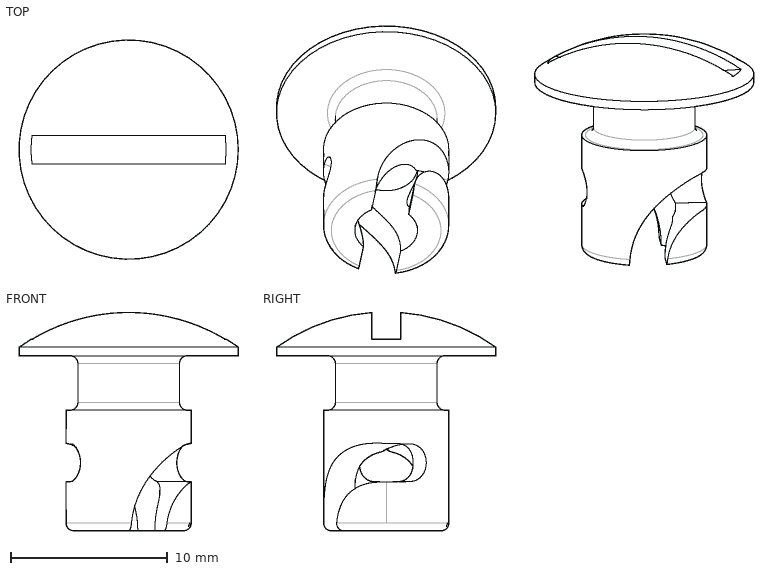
import cadquery as cq
import math

HEAD_RADIUS = 7.0
DOME_RADIUS = 12.0
RIM_HEIGHT = 0.55
DOME_HEIGHT = DOME_RADIUS - math.sqrt(DOME_RADIUS**2 - HEAD_RADIUS**2)
HEAD_HEIGHT = RIM_HEIGHT + DOME_HEIGHT

NECK_RADIUS = 3.25
NECK_LENGTH = 3.47
NECK_FILLET = 0.5
BODY_RADIUS = 4.0
BODY_LENGTH = 7.7
BODY_EDGE_RADIUS = 0.5
BODY_BOTTOM = -(NECK_LENGTH + BODY_LENGTH)

DRIVER_SLOT_WIDTH = 1.83
DRIVER_SLOT_HALF_LENGTH = 6.22
DRIVER_SLOT_SAG = 0.5

BORE_RADIUS = 2.0
BORE_DEPTH = 6.0

GROOVE_WIDTH = 2.4
GROOVE_DEPTH = 2.8
GROOVE_MAX_TILT = 18.0
GROOVE_END_ARC = 1.55
GROOVE_TURN_START_ARC = 0.6
GROOVE_TURN_RADIUS = 4.3
GROOVE_TURN_CENTRE_Z = BODY_BOTTOM + 0.05
GROOVE_LEVEL_Z = GROOVE_TURN_CENTRE_Z + GROOVE_TURN_RADIUS
GROOVE_EXIT_ARC = GROOVE_TURN_START_ARC + GROOVE_TURN_RADIUS
GROOVE_LEVEL_SECTIONS = 4
GROOVE_TURN_SECTIONS = 10
CUT_CLEARANCE = 1.0


def make_stud():
    """Revolve the dome, rim, neck and body about Z."""
    dome_mid_radius = HEAD_RADIUS / 2
    dome_mid_z = HEAD_HEIGHT - DOME_RADIUS + math.sqrt(DOME_RADIUS**2 - dome_mid_radius**2)
    neck_fillet_edge = NECK_RADIUS + NECK_FILLET
    profile = (
        cq.Workplane("XZ")
        .moveTo(0, BODY_BOTTOM)
        .lineTo(BODY_RADIUS - BODY_EDGE_RADIUS, BODY_BOTTOM)
        .radiusArc((BODY_RADIUS, BODY_BOTTOM + BODY_EDGE_RADIUS), -BODY_EDGE_RADIUS)
        .lineTo(BODY_RADIUS, -NECK_LENGTH)
        .lineTo(neck_fillet_edge, -NECK_LENGTH)
        .radiusArc((NECK_RADIUS, -NECK_LENGTH + NECK_FILLET), NECK_FILLET)
        .lineTo(NECK_RADIUS, -NECK_FILLET)
        .radiusArc((neck_fillet_edge, 0), NECK_FILLET)
        .lineTo(HEAD_RADIUS, 0)
        .lineTo(HEAD_RADIUS, RIM_HEIGHT)
        .threePointArc((dome_mid_radius, dome_mid_z), (0, HEAD_HEIGHT))
        .close()
    )
    return profile.revolve(360, (0, 0, 0), (0, 1, 0))


def make_driver_slot():
    """Slot along X whose floor is a shallow arc, lowest at the middle."""
    end_z = HEAD_HEIGHT - DOME_RADIUS + math.sqrt(DOME_RADIUS**2 - DRIVER_SLOT_HALF_LENGTH**2)
    top_z = HEAD_HEIGHT + CUT_CLEARANCE
    return (
        cq.Workplane("XZ")
        .moveTo(-DRIVER_SLOT_HALF_LENGTH, top_z)
        .lineTo(-DRIVER_SLOT_HALF_LENGTH, end_z)
        .threePointArc((0, end_z - DRIVER_SLOT_SAG), (DRIVER_SLOT_HALF_LENGTH, end_z))
        .lineTo(DRIVER_SLOT_HALF_LENGTH, top_z)
        .close()
        .extrude(DRIVER_SLOT_WIDTH / 2, both=True)
    )


def make_bore():
    """Flat-bottomed axial bore, opening on the bottom face."""
    return cq.Workplane("XY", origin=(0, 0, BODY_BOTTOM)).circle(BORE_RADIUS).extrude(BORE_DEPTH)


def groove_section(arc, z, descent):
    """Rectangular cross section of the groove at one place on its path."""
    angle = math.pi - arc / BODY_RADIUS
    outward = cq.Vector(math.cos(angle), math.sin(angle), 0)
    level_tangent = cq.Vector(math.sin(angle), -math.cos(angle), 0)
    along = level_tangent * math.cos(descent) - cq.Vector(0, 0, math.sin(descent))
    path_fraction = (arc + GROOVE_END_ARC) / (GROOVE_EXIT_ARC + GROOVE_END_ARC)
    tilt = GROOVE_MAX_TILT * math.sin(math.pi * path_fraction)
    plane = cq.Plane(origin=outward * BODY_RADIUS + cq.Vector(0, 0, z), xDir=outward, normal=along)
    section = (
        cq.Workplane(plane.rotated((0, 0, tilt)))
        .center((CUT_CLEARANCE - GROOVE_DEPTH) / 2, 0)
        .rect(CUT_CLEARANCE + GROOVE_DEPTH, GROOVE_WIDTH)
    )
    return section.wires().val()


def make_round_end():
    """Radial cylinder that rounds off the start of the groove."""
    angle = math.pi + GROOVE_END_ARC / BODY_RADIUS
    outward = cq.Vector(math.cos(angle), math.sin(angle), 0)
    floor_point = outward * (BODY_RADIUS - GROOVE_DEPTH) + cq.Vector(0, 0, GROOVE_LEVEL_Z)
    return cq.Workplane(
        obj=cq.Solid.makeCylinder(GROOVE_WIDTH / 2, GROOVE_DEPTH + CUT_CLEARANCE, floor_point, outward)
    )


def make_groove():
    """Groove that starts with a round end on the -X side and leaves through the bottom."""
    level_length = GROOVE_END_ARC + GROOVE_TURN_START_ARC
    sections = []
    for step in range(GROOVE_LEVEL_SECTIONS):
        arc = -GROOVE_END_ARC + level_length * step / GROOVE_LEVEL_SECTIONS
        sections.append(groove_section(arc, GROOVE_LEVEL_Z, 0))
    for step in range(GROOVE_TURN_SECTIONS + 1):
        descent = math.pi / 2 * step / GROOVE_TURN_SECTIONS
        arc = GROOVE_TURN_START_ARC + GROOVE_TURN_RADIUS * math.sin(descent)
        z = GROOVE_TURN_CENTRE_Z + GROOVE_TURN_RADIUS * math.cos(descent)
        sections.append(groove_section(arc, z, descent))
    sections.append(groove_section(GROOVE_EXIT_ARC, BODY_BOTTOM - CUT_CLEARANCE, math.pi / 2))
    return cq.Workplane(obj=cq.Solid.makeLoft(sections)).union(make_round_end())


groove = make_groove()
opposite_groove = groove.rotate((0, 0, 0), (0, 0, 1), 180)
result = make_stud().cut(make_driver_slot()).cut(make_bore()).cut(groove).cut(opposite_groove)